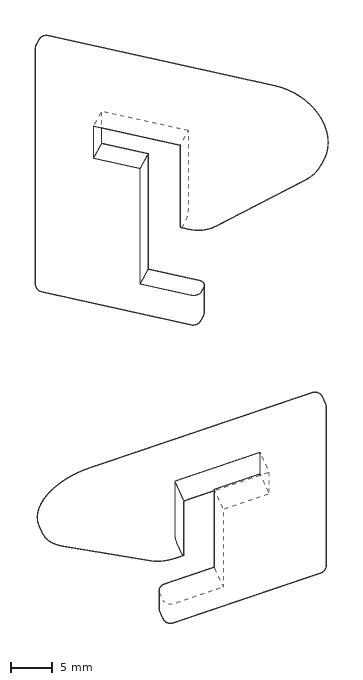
import cadquery as cq
import math

width = 36.83
height = 38.52
thickness = 3.0
edge_radius = 1.0
foot_right = 21.07

nose_radius = 6.97
tip_radius = 5.12
tip_bottom = 14.75
tip_center_x = 19.65

slot_left = 7.7
stem_left = 13.65
slot_right = 18.72
slot_top = 28.05
step_z = 23.07
foot_top = 5.15

notch_left = (stem_left + slot_right) / 2
notch_bottom = foot_top + 2 * edge_radius

nose_center = (width - nose_radius, height - nose_radius)
tip_center = (tip_center_x, tip_bottom + tip_radius)


def on_circle(center, radius, angle):
    return (center[0] + radius * math.cos(angle), center[1] + radius * math.sin(angle))


def box(x_min, x_max, z_min, z_max):
    """Cutter through the whole thickness."""
    return cq.Workplane("XY").box(
        x_max - x_min, 2 * thickness, z_max - z_min, centered=(False, True, False)
    ).translate((x_min, 0, z_min))


center_dx = nose_center[0] - tip_center[0]
center_dz = nose_center[1] - tip_center[1]
center_distance = math.hypot(center_dx, center_dz)
flank_normal = (
    math.atan2(center_dz, center_dx)
    - math.acos((tip_radius - nose_radius) / center_distance)
)
nose_mid_angle = (math.pi / 2 + flank_normal) / 2
tip_mid_angle = (-math.pi / 2 + flank_normal) / 2

blank = (
    cq.Workplane("XZ")
    .moveTo(0, 0)
    .lineTo(0, height)
    .lineTo(nose_center[0], height)
    .threePointArc(
        on_circle(nose_center, nose_radius, nose_mid_angle),
        on_circle(nose_center, nose_radius, flank_normal),
    )
    .lineTo(*on_circle(tip_center, tip_radius, flank_normal))
    .threePointArc(
        on_circle(tip_center, tip_radius, tip_mid_angle),
        (tip_center_x, tip_bottom),
    )
    .lineTo(notch_left, tip_bottom)
    .lineTo(notch_left, notch_bottom)
    .lineTo(foot_right, notch_bottom)
    .lineTo(foot_right, 0)
    .close()
    .extrude(thickness / 2, both=True)
)
blank = blank.edges("|Y and (<X or <Z)").fillet(edge_radius)
blank = blank.faces("<Y or >Y").edges().fillet(edge_radius)

upper_pocket = box(slot_left, slot_right, step_z, slot_top)
stem = box(stem_left, slot_right, foot_top, slot_top)
mouth = box(stem_left, width, foot_top, (notch_bottom + tip_bottom) / 2)
result = blank.cut(upper_pocket).cut(stem).cut(mouth)